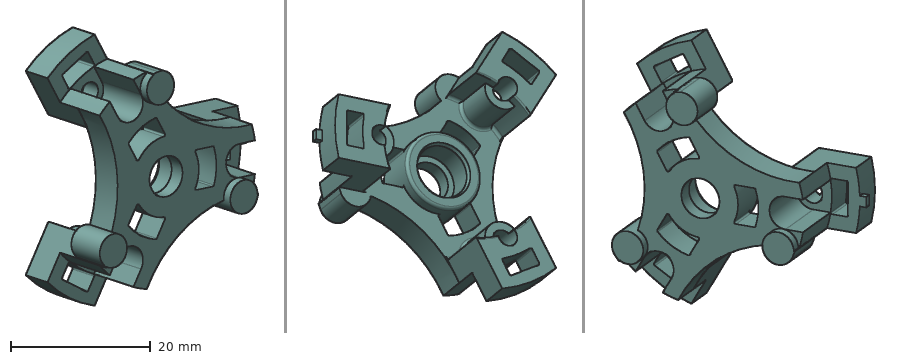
import cadquery as cq
import math

arm_count = 3
arm_step = 360 / arm_count

pad_back = 5.0
tube_front = 1.65
hub_front = 6.92
plate_front = 9.0
plate_back = 14.0
boss_back = 15.5

overall_height = 40.25
arm_half_width = 5.0
arm_outer_radius = 16.5
arm_inner_radius = 13.0
web_waist_radius = 8.9
base_fillet = 0.5
front_round = 0.25

tube_distance = 13.5
tube_radius = 2.8
tube_hole_radius = 1.55
relief_half_width = 2.5

pad_window_outer = 19.05
pad_window_half_width = 2.75
window_corner_radius = 0.25

boss_distance = 13.1

hub_radius = 6.0
hub_rim_fillet = 0.5
bore_radius = 4.0
bore_chamfer_width = 0.3
bore_chamfer_depth = 0.6
bore_floor = 11.5
shaft_hole_radius = 3.0

web_window_half_width = 2.98
web_window_outer_radius = 9.2

nub_tip = 22.0
nub_thickness = 1.0
nub_half_width = 0.8

slant = math.radians(180 - arm_step)
pad_corner_distance = (overall_height / 2 - arm_half_width * math.cos(slant)) / math.sin(slant)
pad_outer_radius = math.hypot(pad_corner_distance, arm_half_width)

SIN_45 = math.sqrt(0.5)


def cylinder(radius, start, end, y=0, z=0):
    """Cylinder along X between two stations."""
    return cq.Workplane("YZ", origin=(start, y, z)).circle(radius).extrude(end - start)


def block(x_range, y_range, half_width):
    """Box centred on Z = 0."""
    size_x = x_range[1] - x_range[0]
    size_y = y_range[1] - y_range[0]
    corner = cq.Workplane("XY", origin=(x_range[0], y_range[0], -half_width))
    return corner.box(size_x, size_y, 2 * half_width, centered=False)


def on_every_arm(shape):
    """Copies of a first-arm shape on all arms, as one object."""
    copies = shape
    for index in range(1, arm_count):
        copies = copies.union(shape.rotate((0, 0, 0), (1, 0, 0), index * arm_step))
    return copies


def polar_point(radius, offset, degrees):
    """(y, z) of a point given along and across a direction at the given angle."""
    angle = math.radians(degrees)
    y = radius * math.cos(angle) - offset * math.sin(angle)
    z = radius * math.sin(angle) + offset * math.cos(angle)
    return y, z


def make_web():
    """Plate with a rounded tip on each arm and one concave arc between neighbouring tips."""
    corner_distance = math.sqrt(arm_outer_radius**2 - arm_half_width**2)
    outline = cq.Workplane("YZ", origin=(plate_front, 0, 0))
    outline = outline.moveTo(*polar_point(corner_distance, -arm_half_width, 0))
    for index in range(arm_count):
        angle = index * arm_step
        outline = outline.threePointArc(
            polar_point(arm_outer_radius, 0, angle),
            polar_point(corner_distance, arm_half_width, angle),
        )
        outline = outline.threePointArc(
            polar_point(web_waist_radius, 0, angle + arm_step / 2),
            polar_point(corner_distance, -arm_half_width, angle + arm_step),
        )
    return outline.close().extrude(plate_back - plate_front)


def make_arm():
    """Stepped arm in front of the plate: a revolved section trimmed to the arm width."""
    round_mid = front_round * (1 - SIN_45)
    fillet_mid = base_fillet * (1 - SIN_45)
    section = (
        cq.Workplane("XY")
        .moveTo(0, pad_outer_radius)
        .lineTo(0, arm_inner_radius + front_round)
        .threePointArc(
            (round_mid, arm_inner_radius + round_mid),
            (front_round, arm_inner_radius),
        )
        .lineTo(plate_front - base_fillet, arm_inner_radius)
        .threePointArc(
            (plate_front - fillet_mid, arm_inner_radius - fillet_mid),
            (plate_front, arm_inner_radius - base_fillet),
        )
        .lineTo(plate_front, arm_outer_radius)
        .lineTo(pad_back, arm_outer_radius)
        .lineTo(pad_back, pad_outer_radius)
        .close()
    )
    ring = section.revolve(360, (0, 0, 0), (1, 0, 0))
    return ring.intersect(block((0, plate_front), (0, pad_outer_radius), arm_half_width))


def make_tube():
    """Guide tube, still solid, flaring into the plate."""
    fillet_mid = base_fillet * (1 - SIN_45)
    section = (
        cq.Workplane("XY", origin=(0, tube_distance, 0))
        .moveTo(tube_front, 0)
        .lineTo(tube_front, -tube_radius)
        .lineTo(plate_front - base_fillet, -tube_radius)
        .threePointArc(
            (plate_front - fillet_mid, -tube_radius - fillet_mid),
            (plate_front, -tube_radius - base_fillet),
        )
        .lineTo(plate_front, 0)
        .close()
    )
    tube = section.revolve(360, (0, 0, 0), (1, 0, 0))
    return tube.intersect(block((0, plate_front), (0, arm_outer_radius), arm_half_width))


def make_pad_window():
    """Window through the pad, its inner side flush with the back of the arm."""
    window = block((0, pad_back), (arm_inner_radius, pad_window_outer), pad_window_half_width)
    window = window.cut(cylinder(arm_outer_radius, 0, pad_back))
    return window.edges("|X").fillet(window_corner_radius)


def make_relief():
    """U-shaped screw relief behind the pad, open outwards."""
    channel = block((pad_back, plate_back), (tube_distance, pad_outer_radius), relief_half_width)
    return channel.union(cylinder(relief_half_width, pad_back, plate_back, tube_distance))


def make_web_window():
    """Opening through the plate between the hub and an outer arc."""
    window = cylinder(web_window_outer_radius, plate_front, plate_back)
    window = window.cut(cylinder(hub_radius, plate_front, plate_back))
    span = block((plate_front, plate_back), (0, web_window_outer_radius), web_window_half_width)
    return window.intersect(span).edges("|X").fillet(window_corner_radius)


def make_boss():
    """Boss touching the arm's outer arc, with that arc carried on to the arm's corner."""
    center_radius = math.hypot(boss_distance, arm_half_width)
    center_angle = -math.degrees(math.asin(arm_half_width / center_radius))
    corner_angle = -math.degrees(math.asin(arm_half_width / arm_outer_radius))
    corner_filler = (
        cq.Workplane("YZ", origin=(plate_front, 0, 0))
        .moveTo(boss_distance, -arm_half_width)
        .lineTo(*polar_point(arm_outer_radius, 0, center_angle))
        .threePointArc(
            polar_point(arm_outer_radius, 0, (center_angle + corner_angle) / 2),
            polar_point(arm_outer_radius, 0, corner_angle),
        )
        .close()
        .extrude(boss_back - plate_front)
    )
    boss_radius = arm_outer_radius - center_radius
    boss = cylinder(boss_radius, plate_front, boss_back, boss_distance, -arm_half_width)
    return boss.union(corner_filler)


def make_hub():
    """Hub ring standing in front of the plate, still solid."""
    return cylinder(hub_radius, hub_front, plate_back).faces("<X").edges().fillet(hub_rim_fillet)


def make_bore():
    """Stepped bore with a chamfered mouth."""
    section = (
        cq.Workplane("XY")
        .moveTo(hub_front, 0)
        .lineTo(hub_front, bore_radius + bore_chamfer_width)
        .lineTo(hub_front + bore_chamfer_depth, bore_radius)
        .lineTo(bore_floor, bore_radius)
        .lineTo(bore_floor, shaft_hole_radius)
        .lineTo(plate_back, shaft_hole_radius)
        .lineTo(plate_back, 0)
        .close()
    )
    return section.revolve(360, (0, 0, 0), (1, 0, 0))


arm = make_arm().union(make_tube())
tube_hole = cylinder(tube_hole_radius, 0, plate_back, tube_distance)
nub = block((pad_back - nub_thickness, pad_back), (pad_window_outer, nub_tip), nub_half_width)

body = make_web().union(on_every_arm(arm)).cut(on_every_arm(make_web_window()))
body = body.union(make_hub()).cut(make_bore())
body = body.cut(on_every_arm(make_relief())).cut(on_every_arm(tube_hole))
body = body.cut(on_every_arm(make_pad_window()))
result = body.union(on_every_arm(make_boss())).union(nub)